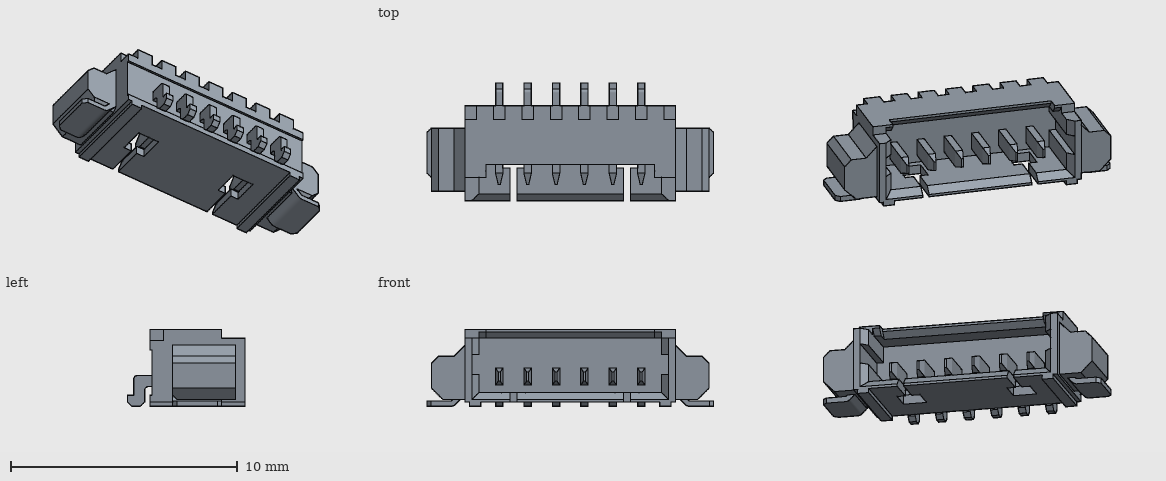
import cadquery as cq
import math


total_length = 12.65
total_depth = 5.2
total_height = 3.4
bevel_angle = 45

body_half_length = 4.64
body_depth = 4.2
body_bottom = 0.19
side_height = 3.01
roof_front = 1.04
roof_notch_half_length = 3.72
roof_notch_back = 1.6

cavity_half_length = 4.04
cavity_floor = 0.61
cavity_back = 2.96
mouth_chamfer = 0.3
roof_chamfer = 0.28
groove_bottom = 1.4
groove_top = 2.29

back_notch_width = 0.5
back_notch_depth = 0.61
back_notch_bottom = 2.9
back_recess_depth = 0.09
back_recess_bottom = 0.49
back_recess_top = 2.48

pin_count = 6
pin_pitch = 1.25
pin_width = 0.33
blade_bottom = 0.94
blade_top = 1.7
blade_tip = 0.71
blade_shoulder = 1.21
blade_taper = 0.18
blade_tip_width = 0.09
tail_thickness = 0.49
tail_top = 1.37
tail_leg_back = 4.92
tail_bend_radius = 0.16
foot_chamfer = 0.2

slot_width = 0.29
slot_head_width = 1.05
slot_head_front = 1.45
slot_head_back = 2.62

rail_width = 0.5
rail_outer = 4.45

ear_front = 0.42
ear_back = 3.2
ear_half_length = 6.12
ear_bottom = 0.3
ear_top = 2.21
ear_top_chamfer = 0.3
ear_bottom_chamfer = 0.5
ear_root_height = 0.49
ear_corner_chamfer = 0.19
tab_front = 1.04
tab_thickness = 0.24
tab_chamfer = 0.19
tab_bend = 5.28
tab_inner_radius = 0.06

pin_positions = [(i - (pin_count - 1) / 2) * pin_pitch for i in range(pin_count)]


def box(x0, x1, y0, y1, z0, z1):
    """Box between two opposite corners."""
    return cq.Workplane("XY").box(x1 - x0, y1 - y0, z1 - z0, centered=False).translate((x0, y0, z0))


def extrude_along_x(profile, half_length):
    """Extrude a closed (Y, Z) outline evenly to both sides of X = 0."""
    return cq.Workplane("YZ").polyline(profile).close().extrude(half_length, both=True)


def extrude_along_y(outline, front, back):
    """Extrude a closed outline drawn in the XZ plane from the front to the back."""
    return outline.close().extrude(front - back).translate((0, front, 0))


def make_shell():
    """Outer block, stepped down at the front, with a notch in the front edge of the roof."""
    shell = box(-body_half_length, body_half_length, 0, body_depth, body_bottom, side_height)
    roof = box(-body_half_length, body_half_length, roof_front, body_depth, side_height, total_height)
    notch = box(
        -roof_notch_half_length,
        roof_notch_half_length,
        roof_front,
        roof_notch_back,
        side_height,
        total_height,
    )
    return shell.union(roof.cut(notch))


def make_cavity():
    """Plug-shaped space: main room, flared mouth, side grooves and bevels under the roof edge."""
    cavity = box(-cavity_half_length, cavity_half_length, 0, cavity_back, cavity_floor, side_height)

    mouth_half_length = cavity_half_length + mouth_chamfer
    mouth_bottom = cavity_floor - mouth_chamfer
    mouth_top = side_height + mouth_chamfer
    mouth = (
        cq.Workplane("XZ")
        .center(0, (mouth_bottom + mouth_top) / 2)
        .rect(2 * mouth_half_length, mouth_top - mouth_bottom)
        .extrude(-mouth_chamfer, taper=bevel_angle)
    )
    grooves = box(-mouth_half_length, mouth_half_length, 0, cavity_back, groove_bottom, groove_top)
    cavity = cavity.union(mouth).union(grooves)

    for edge, half_length in (
        (roof_front, cavity_half_length),
        (roof_notch_back, roof_notch_half_length),
    ):
        bevel = [(edge, side_height), (edge + roof_chamfer, side_height), (edge, side_height + roof_chamfer)]
        cavity = cavity.union(extrude_along_x(bevel, half_length))
    return cavity


def make_floor_slot(x):
    """T-shaped opening through the floor, running out at the mouth."""
    stem = box(x - slot_width / 2, x + slot_width / 2, 0, slot_head_front, body_bottom, cavity_floor)
    head = box(
        x - slot_head_width / 2,
        x + slot_head_width / 2,
        slot_head_front,
        slot_head_back,
        body_bottom,
        cavity_floor,
    )
    return stem.union(head)


def make_back_cuts():
    """Notches in the top rear edge, above each pin and at both ends, and a shallow band below."""
    cuts = box(
        -body_half_length,
        body_half_length,
        body_depth - back_recess_depth,
        body_depth,
        back_recess_bottom,
        back_recess_top,
    )
    end_notch = body_half_length - back_notch_width / 2
    for x in [-end_notch, *pin_positions, end_notch]:
        notch = box(
            x - back_notch_width / 2,
            x + back_notch_width / 2,
            body_depth - back_notch_depth,
            body_depth,
            back_notch_bottom,
            total_height,
        )
        cuts = cuts.union(notch)
    return cuts


def make_pin(x):
    """Pin with a pointed blade inside the cavity and a bent solder tail behind the housing."""
    blade = box(-pin_width / 2, pin_width / 2, blade_shoulder, cavity_back, blade_bottom, blade_top)
    blade_height = blade_top - blade_bottom
    point = (
        cq.Workplane("XZ", origin=(0, blade_shoulder, (blade_bottom + blade_top) / 2))
        .rect(pin_width, blade_height)
        .workplane(offset=blade_shoulder - blade_tip)
        .rect(blade_tip_width, blade_height - 2 * blade_taper)
        .loft(ruled=True)
    )

    leg_front = tail_leg_back - tail_thickness
    tail_bottom = tail_top - tail_thickness
    tail = (
        cq.Workplane("YZ")
        .moveTo(cavity_back, tail_top)
        .lineTo(tail_leg_back - tail_bend_radius, tail_top)
        .radiusArc((tail_leg_back, tail_top - tail_bend_radius), tail_bend_radius)
        .lineTo(tail_leg_back, tail_thickness)
        .lineTo(total_depth, tail_thickness)
        .lineTo(total_depth, foot_chamfer)
        .lineTo(total_depth - foot_chamfer, 0)
        .lineTo(leg_front + foot_chamfer, 0)
        .lineTo(leg_front, foot_chamfer)
        .lineTo(leg_front, tail_bottom - tail_bend_radius)
        .radiusArc((leg_front - tail_bend_radius, tail_bottom), -tail_bend_radius)
        .lineTo(cavity_back, tail_bottom)
        .close()
        .extrude(pin_width / 2, both=True)
    )
    return blade.union(point).union(tail).translate((x, 0, 0))


def make_ear():
    """Bevelled ear on the +X end, with its lower rear edge cut off."""
    shoulder = body_half_length + ear_root_height
    outline = cq.Workplane("XZ").polyline(
        [
            (body_half_length, ear_bottom),
            (ear_half_length - ear_bottom_chamfer, ear_bottom),
            (ear_half_length, ear_bottom + ear_bottom_chamfer),
            (ear_half_length, ear_top - ear_top_chamfer),
            (ear_half_length - ear_top_chamfer, ear_top),
            (shoulder, ear_top),
            (body_half_length, ear_top + ear_root_height),
        ]
    )
    ear = extrude_along_y(outline, ear_front, ear_back)
    corner = [
        (ear_back, ear_bottom),
        (ear_back - ear_corner_chamfer, ear_bottom),
        (ear_back, ear_bottom + ear_corner_chamfer),
    ]
    return ear.cut(extrude_along_x(corner, total_length / 2))


def make_solder_tab():
    """Flat tab under the +X ear, bent up at 45 degrees into the ear and the housing end."""
    half_length = total_length / 2
    outer_radius = tab_inner_radius + tab_thickness
    bend_end = math.radians(bevel_angle)
    bend_middle = bend_end / 2

    def on_bend(radius, angle):
        """Point on an arc of the bend, at an angle from where the flat part ends."""
        x = tab_bend - radius * math.sin(angle)
        z = outer_radius - radius * math.cos(angle)
        return (x, z)

    lower_end = on_bend(outer_radius, bend_end)
    upper_end = on_bend(tab_inner_radius, bend_end)
    slope = math.tan(bend_end)
    outline = (
        cq.Workplane("XZ")
        .moveTo(half_length, 0)
        .lineTo(tab_bend, 0)
        .threePointArc(on_bend(outer_radius, bend_middle), lower_end)
        .lineTo(body_half_length, lower_end[1] + slope * (lower_end[0] - body_half_length))
        .lineTo(body_half_length, upper_end[1] + slope * (upper_end[0] - body_half_length))
        .lineTo(*upper_end)
        .threePointArc(on_bend(tab_inner_radius, bend_middle), (tab_bend, tab_thickness))
        .lineTo(half_length, tab_thickness)
    )
    tab = extrude_along_y(outline, tab_front, ear_back)
    return tab.faces(">X").edges("|Z").chamfer(tab_chamfer)


body = make_shell().cut(make_cavity()).cut(make_back_cuts())
for side in (-1, 1):
    body = body.cut(make_floor_slot(side * (pin_count / 2 - 1) * pin_pitch))
for x in pin_positions:
    body = body.union(make_pin(x))

rail = box(rail_outer - rail_width, rail_outer, 0, body_depth, 0, body_bottom)
end_parts = make_ear().union(make_solder_tab()).union(rail)
result = body.union(end_parts).union(end_parts.mirror("YZ"))